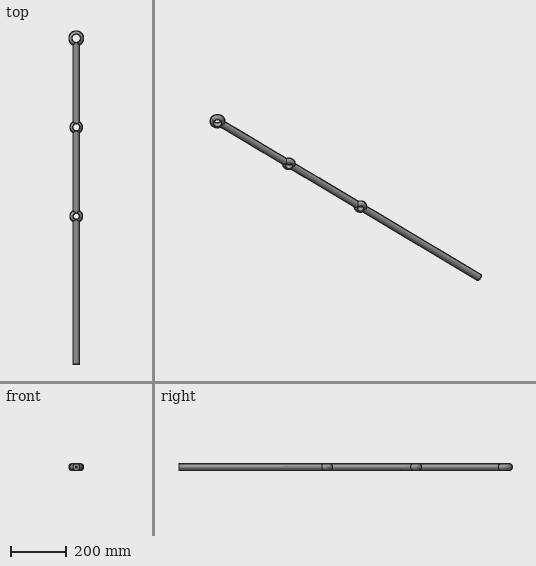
import cadquery as cq


total_length = 1200.0
rod_diameter = 25.0
eye_spacing = 320.0

end_eye_outer_diameter = 54.0
end_eye_hole_diameter = 30.0
inner_eye_outer_diameter = 46.0
middle_eye_hole_diameter = 25.0
ring_hole_diameter = 22.0

end_hole_diameter = 5.0
end_hole_depth = 15.0

rod_radius = rod_diameter / 2
end_eye_y = total_length - end_eye_outer_diameter / 2
middle_eye_y = end_eye_y - eye_spacing
ring_y = middle_eye_y - eye_spacing


def rod_between(y_start, y_end):
    """Round bar on the Y axis."""
    return cq.Workplane("XZ", origin=(0, y_start, 0)).circle(rod_radius).extrude(y_start - y_end)


def eye_blank(y, outer_diameter):
    """Disc as thick as the rod, with a fully rounded rim and no hole yet."""
    flat_radius = outer_diameter / 2 - rod_radius
    half_section = (
        cq.Workplane("XZ")
        .moveTo(0, -rod_radius)
        .lineTo(flat_radius, -rod_radius)
        .threePointArc((outer_diameter / 2, 0), (flat_radius, rod_radius))
        .lineTo(0, rod_radius)
        .close()
    )
    blank = half_section.revolve(360, (0, 0, 0), (0, 1, 0))
    return blank.rotate((0, 0, 0), (0, 0, 1), 90).translate((0, y, 0))


def eye_hole(y, diameter):
    """Cutter for the hole through an eye."""
    return cq.Workplane("XY").center(0, y).circle(diameter / 2).extrude(rod_diameter, both=True)


ring_blank = eye_blank(ring_y, inner_eye_outer_diameter)

upper_rod = rod_between(ring_y, end_eye_y).cut(ring_blank)
upper_eyes = [
    (end_eye_y, end_eye_outer_diameter, end_eye_hole_diameter),
    (middle_eye_y, inner_eye_outer_diameter, middle_eye_hole_diameter),
]
for eye_y, outer_diameter, hole_diameter in upper_eyes:
    upper_rod = upper_rod.union(eye_blank(eye_y, outer_diameter))
    upper_rod = upper_rod.cut(eye_hole(eye_y, hole_diameter))

ring = ring_blank.cut(eye_hole(ring_y, ring_hole_diameter))

lower_rod = rod_between(0, ring_y).cut(ring_blank)
end_hole = cq.Workplane("XZ").circle(end_hole_diameter / 2).extrude(-end_hole_depth)
lower_rod = lower_rod.cut(end_hole)

bodies = [upper_rod, ring, lower_rod]
result = cq.Compound.makeCompound([body.solids().val() for body in bodies])